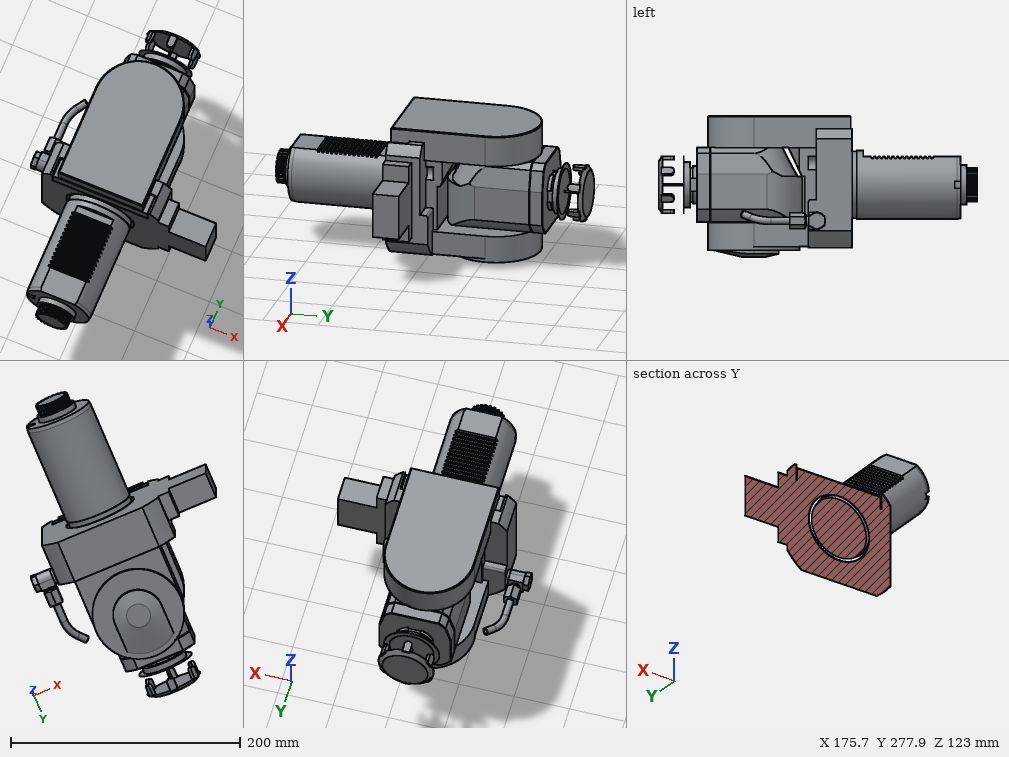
import cadquery as cq
import math


OVERLAP = 1.0

BODY_HALF_WIDTH = 55.0
BODY_TOP = 49.0
BODY_BOTTOM = -55.0
BODY_CORNER_RADIUS = 68.0
BODY_BACK = 31.0
FOOT_BACK = 38.0
FOOT_TOP = -13.0
FOOT_FILLET = 2.0
INSERT_HALF_WIDTH = 44.5
INSERT_BOTTOM = 34.0
INSERT_DEPTH = 17.6
INSERT_GAP = 0.8
INSERT_SETBACK = 0.2

SWIVEL_Y = 85.7
ARM_RADIUS = 40.0
COVER_TOP = 60.0
COVER_BOTTOM = 46.0
COVER_FRONT = 1.0
COVER_CHAMFER = 0.8
UPPER_ARM_BOTTOM = 32.5
LOWER_ARM_TOP = -33.0
LOWER_ARM_BOTTOM = -54.0
PIVOT_DISC_BOTTOM = -57.2
ROOT_HALF_WIDTH = 35.0
ROOT_BACK = 41.3
GUSSET_FOOT = 43.8
GUSSET_SHOULDER = 46.0
GUSSET_BACK = 55.5
GUSSET_TIP_HALF_WIDTH = 2.0
ROOT_GROOVE_RADIUS = 6.0
ROOT_GROOVE_Z = 18.9
PIVOT_CAP_RADIUS = 22.0
PIVOT_CAP_BOTTOM = -63.0
PIVOT_CONE_TOP_RADIUS = 35.0
PIVOT_CONE_TIP_RADIUS = 10.4

HEAD_HALF = 32.6
HEAD_CORNER_RADIUS = 39.0
HEAD_BACK = 135.6
HEAD_NOSE_START = 74.2
HEAD_NOSE_FRONT = 43.0
HEAD_BEVEL_TOP_Z = 27.4
HEAD_BEVEL_END_Z = 9.6
HEAD_END_CHAMFER = 0.5
HEAD_SEAM_Y = 123.6
HEAD_SEAM_WIDTH = 0.6
HEAD_SEAM_DEPTH = 0.5
HEAD_CONE_Z = 7.4
HEAD_CONE_BASE_RADIUS = 38.3
HEAD_CONE_TOP_RADIUS = 25.0

SPINDLE_DIAMETER = 34.8
SPINDLE_SLOT_WIDTH = 11.0
SPINDLE_SLOT_RADIUS = 15.0
SPINDLE_LIP_END = 138.8
SPINDLE_NECK_RADIUS = 16.0
RIM_DIAMETER = 40.0
RIM_FRONT = 141.2
NUT_DIAMETER = 50.0
NUT_EDGE_Y = 146.6
NUT_EDGE_THICKNESS = 0.2
NUT_BACK = 168.61
NUT_PLATE_FRONT = 165.2
NUT_FACE_DIAMETER = 41.0
FINGER_COUNT = 6
FINGER_WIDTH = 6.8
FINGER_THICKNESS = 3.3
FINGER_FRONT = 155.2
PIN_DIAMETER = 1.7

SHANK_DIAMETER = 60.0
SHANK_END = -94.8
SHANK_CHAMFER_LENGTH = 3.4
NECK_DIAMETER = 58.7
NECK_END = -4.2
SEAL_DIAMETER = 64.0
SEAL_DEPTH = 1.0
FLAT_Z = 24.7
FLAT_START = -10.0
TOOTH_COUNT = 14
TOOTH_PITCH = 4.0
FIRST_TOOTH_Y = -17.8
TOOTH_GAP_HALF = 1.5
TOOTH_ROOT_HALF = 0.5
TOOTH_DEPTH = 1.6
KEYWAY_WIDTH = 6.0
KEYWAY_LENGTH = 5.3
KEYWAY_FLOOR_X = -21.8
COUPLING_COLLAR_END = -100.0
COUPLING_END = -109.3
SPLINE_COUNT = 22
SPLINE_RADIUS = 14.8
SPLINE_ROOT_RADIUS = 13.3
SPLINE_TIP_SHARE = 0.15
SPLINE_FOOT_SHARE = 0.35

SUPPORT_BACK = 23.4
SUPPORT_PLATE_X = 65.0
SUPPORT_PLATE_HALF_HEIGHT = 35.0
SUPPORT_END_X = 100.0
SUPPORT_HALF_HEIGHT = 20.0

FITTING_Y = 30.6
FITTING_Z = -31.4
FITTING_END_X = -75.7
FITTING_HEX_INNER_X = -71.0
FITTING_SHOULDER_X = -57.6
FITTING_HEX_CORNERS = 16.0
ELBOW_DIAMETER = 14.5
FITTING_NECK_DIAMETER = 14.0
TUBE_X = -64.1
GLAND_DIAMETER = 8.2
GLAND_CONE_END = 41.4
TUBE_NUT_START = 39.8
TUBE_NUT_END = 54.2
TUBE_NUT_FLATS = 12.0
TUBE_DIAMETER = 6.37
TUBE_BORE = 4.4
TUBE_BEND_START = 71.0
TUBE_BEND_RADIUS = 25.0
TUBE_BEND_ANGLE = 42.0
TUBE_TAIL = 9.5
TUBE_ROLL_ANGLE = 27.0


def box_between(x_range, y_range, z_range):
    """Box given by its limits along each axis."""
    size_x = x_range[1] - x_range[0]
    size_y = y_range[1] - y_range[0]
    size_z = z_range[1] - z_range[0]
    corner = (x_range[0], y_range[0], z_range[0])
    return cq.Workplane("XY").box(size_x, size_y, size_z, centered=False).translate(corner)


def plane_across_y(y, x=0.0, z=0.0):
    """Sketch plane at a Y station, with local x along -X, local y along +Z and normal +Y."""
    plane = cq.Plane(origin=(x, y, z), xDir=(-1, 0, 0), normal=(0, 1, 0))
    return cq.Workplane(plane)


def cylinder_y(radius, y_start, y_end, x=0.0, z=0.0):
    """Cylinder along Y."""
    return plane_across_y(y_start, x, z).circle(radius).extrude(y_end - y_start)


def cylinder_x(radius, x_start, x_end, y, z):
    """Cylinder along X."""
    return cq.Workplane("YZ", origin=(x_start, y, z)).circle(radius).extrude(x_end - x_start)


def turned_y(profile):
    """Body turned about the Y axis from (radius, y) points."""
    return cq.Workplane("XY").polyline(profile).close().revolve(360, (0, 0, 0), (0, 1, 0))


def swivel_cone(bottom_radius, top_radius, z_bottom, z_top):
    """Truncated cone about the vertical swivel axis."""
    profile = [(0, z_bottom), (bottom_radius, z_bottom), (top_radius, z_top), (0, z_top)]
    cone = cq.Workplane("XZ").polyline(profile).close().revolve(360, (0, 0, 0), (0, 1, 0))
    return cone.translate((0, SWIVEL_Y, 0))


def arm_plate(y_front, z_bottom, z_top):
    """Plate with straight sides and a round end about the swivel axis."""
    return (
        cq.Workplane("XY", origin=(0, 0, z_bottom))
        .moveTo(-ARM_RADIUS, y_front)
        .lineTo(ARM_RADIUS, y_front)
        .lineTo(ARM_RADIUS, SWIVEL_Y)
        .threePointArc((0, SWIVEL_Y + ARM_RADIUS), (-ARM_RADIUS, SWIVEL_Y))
        .close()
        .extrude(z_top - z_bottom)
    )


def make_flange():
    """Stepped flange with corners turned to one radius, and a fitted insert below the cover."""
    width = (-BODY_HALF_WIDTH, BODY_HALF_WIDTH)
    plate = box_between(width, (0, BODY_BACK), (BODY_BOTTOM, BODY_TOP))
    foot = box_between(width, (BODY_BACK - OVERLAP, FOOT_BACK), (BODY_BOTTOM, FOOT_TOP))
    foot = foot.edges("|X and >Y and >Z").fillet(FOOT_FILLET)
    flange = plate.union(foot).intersect(cylinder_y(BODY_CORNER_RADIUS, 0, FOOT_BACK))

    pocket_half = INSERT_HALF_WIDTH + INSERT_GAP
    pocket = box_between((-pocket_half, pocket_half), (0, INSERT_DEPTH), (INSERT_BOTTOM, BODY_TOP))
    insert = box_between(
        (-INSERT_HALF_WIDTH, INSERT_HALF_WIDTH),
        (INSERT_SETBACK, INSERT_DEPTH + OVERLAP),
        (INSERT_BOTTOM - OVERLAP, COVER_BOTTOM),
    )
    return flange.cut(pocket).union(insert)


def make_yoke():
    """Upper and lower arms, the root that joins them and the pivot cap underneath."""
    cover = arm_plate(COVER_FRONT, COVER_BOTTOM, COVER_TOP).faces(">Z").chamfer(COVER_CHAMFER)
    upper = arm_plate(INSERT_DEPTH, UPPER_ARM_BOTTOM, COVER_BOTTOM)
    lower = box_between(
        (-ARM_RADIUS, ARM_RADIUS), (FOOT_BACK - OVERLAP, SWIVEL_Y), (LOWER_ARM_BOTTOM, LOWER_ARM_TOP)
    )
    disc = swivel_cone(ARM_RADIUS, ARM_RADIUS, PIVOT_DISC_BOTTOM, LOWER_ARM_TOP)
    yoke = cover.union(upper).union(lower).union(disc)
    return yoke.union(make_root()).union(make_pivot_cap())


def make_root():
    """Narrow block between the arms with a tapered gusset under the upper arm and a groove in each side."""
    root = box_between(
        (-ROOT_HALF_WIDTH, ROOT_HALF_WIDTH),
        (BODY_BACK - OVERLAP, ROOT_BACK),
        (LOWER_ARM_TOP - OVERLAP, UPPER_ARM_BOTTOM + OVERLAP),
    )
    for side in (-1, 1):
        root = root.cut(
            cylinder_y(ROOT_GROOVE_RADIUS, BODY_BACK, FOOT_BACK, side * ROOT_HALF_WIDTH, ROOT_GROOVE_Z)
        )
    gusset = (
        cq.Workplane("YZ", origin=(-ROOT_HALF_WIDTH, 0, 0))
        .moveTo(ROOT_BACK - OVERLAP, HEAD_CONE_Z)
        .lineTo(GUSSET_FOOT, HEAD_CONE_Z)
        .lineTo(GUSSET_BACK, UPPER_ARM_BOTTOM)
        .lineTo(ROOT_BACK - OVERLAP, UPPER_ARM_BOTTOM)
        .close()
        .extrude(2 * ROOT_HALF_WIDTH)
    )
    taper = [
        (-ROOT_HALF_WIDTH, BODY_BACK),
        (ROOT_HALF_WIDTH, BODY_BACK),
        (ROOT_HALF_WIDTH, GUSSET_SHOULDER),
        (GUSSET_TIP_HALF_WIDTH, GUSSET_BACK),
        (-GUSSET_TIP_HALF_WIDTH, GUSSET_BACK),
        (-ROOT_HALF_WIDTH, GUSSET_SHOULDER),
    ]
    gusset = gusset.intersect(cq.Workplane("XY").polyline(taper).close().extrude(UPPER_ARM_BOTTOM))
    return root.union(gusset)


def make_pivot_cap():
    """Shallow cone under the pivot disc, trimmed to a round-nosed outline open towards +Y."""
    cone = swivel_cone(
        PIVOT_CONE_TIP_RADIUS, PIVOT_CONE_TOP_RADIUS, PIVOT_CAP_BOTTOM, PIVOT_DISC_BOTTOM
    )
    outline = (
        cq.Workplane("XY", origin=(0, SWIVEL_Y, PIVOT_CAP_BOTTOM))
        .moveTo(-PIVOT_CAP_RADIUS, 0)
        .threePointArc((0, -PIVOT_CAP_RADIUS), (PIVOT_CAP_RADIUS, 0))
        .lineTo(PIVOT_CAP_RADIUS, PIVOT_CONE_TOP_RADIUS)
        .lineTo(-PIVOT_CAP_RADIUS, PIVOT_CONE_TOP_RADIUS)
        .close()
        .extrude(PIVOT_DISC_BOTTOM - PIVOT_CAP_BOTTOM)
    )
    return cone.intersect(outline)


def head_section(inset=0.0):
    """Closed outline of the head across Y, optionally inset, sketched on a plane normal to Y."""
    half = HEAD_HALF - inset
    radius = HEAD_CORNER_RADIUS - inset
    corner = math.sqrt(radius**2 - half**2)
    bevel_x = math.sqrt(radius**2 - HEAD_BEVEL_TOP_Z**2)
    mid = radius * math.sqrt(0.5)
    top_angle = (math.atan2(half, corner) + math.atan2(HEAD_BEVEL_TOP_Z, bevel_x)) / 2
    top_mid = (radius * math.cos(top_angle), radius * math.sin(top_angle))
    return (
        plane_across_y(0)
        .moveTo(-corner, half)
        .lineTo(corner, half)
        .threePointArc(top_mid, (bevel_x, HEAD_BEVEL_TOP_Z))
        .lineTo(half, HEAD_BEVEL_END_Z)
        .lineTo(half, -corner)
        .threePointArc((mid, -mid), (corner, -half))
        .lineTo(-corner, -half)
        .threePointArc((-mid, -mid), (-half, -corner))
        .lineTo(-half, HEAD_BEVEL_END_Z)
        .lineTo(-bevel_x, HEAD_BEVEL_TOP_Z)
        .threePointArc((-top_mid[0], top_mid[1]), (-corner, half))
        .close()
    )


def make_head():
    """Block with turned corners, bevelled upper sides, a round nose and a relief cone."""
    block = head_section().extrude(HEAD_BACK).faces(">Y").chamfer(HEAD_END_CHAMFER)
    plan = (
        cq.Workplane("XY", origin=(0, 0, -HEAD_HALF))
        .moveTo(-HEAD_HALF, HEAD_BACK)
        .lineTo(-HEAD_HALF, HEAD_NOSE_START)
        .threePointArc((0, HEAD_NOSE_FRONT), (HEAD_HALF, HEAD_NOSE_START))
        .lineTo(HEAD_HALF, HEAD_BACK)
        .close()
        .extrude(2 * HEAD_HALF)
    )
    return block.intersect(plan).cut(head_relief()).cut(head_seam())


def head_relief():
    """Space around the cone that clears the yoke root above the nose ledge."""
    space = box_between(
        (-HEAD_CORNER_RADIUS, HEAD_CORNER_RADIUS), (0, SWIVEL_Y), (HEAD_CONE_Z, HEAD_HALF)
    )
    return space.cut(swivel_cone(HEAD_CONE_BASE_RADIUS, HEAD_CONE_TOP_RADIUS, HEAD_CONE_Z, HEAD_HALF))


def head_seam():
    """Thin groove around the head beside its end plate."""
    ring = cylinder_y(HEAD_CORNER_RADIUS + OVERLAP, 0, HEAD_SEAM_WIDTH)
    core = head_section(HEAD_SEAM_DEPTH).extrude(HEAD_SEAM_WIDTH)
    return ring.cut(core).translate((0, HEAD_SEAM_Y - HEAD_SEAM_WIDTH / 2, 0))


def make_spindle():
    """Spindle nose with a lip and neck, four wrench slots, its rim and the thin seating edge of the nut."""
    lip = cylinder_y(SPINDLE_DIAMETER / 2, HEAD_BACK - OVERLAP, SPINDLE_LIP_END)
    nose = lip.union(cylinder_y(SPINDLE_NECK_RADIUS, HEAD_BACK, RIM_FRONT))
    slot = box_between(
        (-SPINDLE_SLOT_WIDTH / 2, SPINDLE_SLOT_WIDTH / 2),
        (HEAD_BACK, RIM_FRONT),
        (SPINDLE_SLOT_RADIUS, SPINDLE_DIAMETER),
    )
    for angle in (0, 90, 180, 270):
        nose = nose.cut(slot.rotate((0, 0, 0), (0, 1, 0), angle))
    rim = cylinder_y(RIM_DIAMETER / 2, RIM_FRONT, NUT_EDGE_Y)
    edge = cylinder_y(NUT_DIAMETER / 2, NUT_EDGE_Y, NUT_EDGE_Y + NUT_EDGE_THICKNESS)
    return nose.union(rim).union(edge)


def make_nut():
    """Nut end plate with six round-ended fingers, tied to the spindle by a slim central pin."""
    nut = turned_y(
        [
            (0, NUT_PLATE_FRONT),
            (NUT_DIAMETER / 2, NUT_PLATE_FRONT),
            (NUT_FACE_DIAMETER / 2, NUT_BACK),
            (0, NUT_BACK),
        ]
    )
    half_width = FINGER_WIDTH / 2
    finger_inner = NUT_DIAMETER / 2 - FINGER_THICKNESS
    finger = (
        cq.Workplane("XY", origin=(0, 0, finger_inner))
        .moveTo(-half_width, NUT_PLATE_FRONT + OVERLAP)
        .lineTo(-half_width, FINGER_FRONT + half_width)
        .threePointArc((0, FINGER_FRONT), (half_width, FINGER_FRONT + half_width))
        .lineTo(half_width, NUT_PLATE_FRONT + OVERLAP)
        .close()
        .extrude(FINGER_THICKNESS)
        .intersect(cylinder_y(NUT_DIAMETER / 2, FINGER_FRONT, NUT_BACK))
    )
    for index in range(FINGER_COUNT):
        nut = nut.union(finger.rotate((0, 0, 0), (0, 1, 0), index * 360 / FINGER_COUNT))
    return nut.union(cylinder_y(PIN_DIAMETER / 2, NUT_EDGE_Y, NUT_BACK))


def make_shank():
    """Cylindrical shank with a toothed flat, a neck at the flange and a keyway in the end."""
    radius = SHANK_DIAMETER / 2
    neck_radius = NECK_DIAMETER / 2
    shank = turned_y(
        [
            (0, SHANK_END),
            (neck_radius, SHANK_END),
            (radius, SHANK_END + SHANK_CHAMFER_LENGTH),
            (radius, NECK_END),
            (neck_radius, NECK_END),
            (neck_radius, SEAL_DEPTH + OVERLAP),
            (0, SEAL_DEPTH + OVERLAP),
        ]
    )
    flat = box_between((-radius, radius), (SHANK_END, FLAT_START), (FLAT_Z, radius))
    keyway = box_between(
        (-radius, KEYWAY_FLOOR_X),
        (SHANK_END, SHANK_END + KEYWAY_LENGTH),
        (-KEYWAY_WIDTH / 2, KEYWAY_WIDTH / 2),
    )
    shank = shank.cut(flat).cut(keyway)
    for index in range(TOOTH_COUNT):
        tooth_y = FIRST_TOOTH_Y - index * TOOTH_PITCH
        shank = shank.cut(tooth_gap(tooth_y))
    return shank


def tooth_gap(y):
    """Trapezoidal gap across the clamping flat."""
    profile = [
        (y - TOOTH_GAP_HALF, FLAT_Z),
        (y - TOOTH_ROOT_HALF, FLAT_Z - TOOTH_DEPTH),
        (y + TOOTH_ROOT_HALF, FLAT_Z - TOOTH_DEPTH),
        (y + TOOTH_GAP_HALF, FLAT_Z),
    ]
    gap = cq.Workplane("YZ", origin=(-SHANK_DIAMETER / 2, 0, 0)).polyline(profile).close()
    return gap.extrude(SHANK_DIAMETER)


def make_coupling():
    """Drive coupling: a plain collar followed by a splined stub."""
    collar = cylinder_y(SPINDLE_DIAMETER / 2, COUPLING_COLLAR_END, SHANK_END + OVERLAP)
    pitch = 2 * math.pi / SPLINE_COUNT
    outline = []
    for index in range(SPLINE_COUNT):
        centre = index * pitch
        for radius, offset in (
            (SPLINE_ROOT_RADIUS, -SPLINE_FOOT_SHARE),
            (SPLINE_RADIUS, -SPLINE_TIP_SHARE),
            (SPLINE_RADIUS, SPLINE_TIP_SHARE),
            (SPLINE_ROOT_RADIUS, SPLINE_FOOT_SHARE),
        ):
            angle = centre + offset * pitch
            outline.append((radius * math.cos(angle), radius * math.sin(angle)))
    length = COUPLING_COLLAR_END + OVERLAP - COUPLING_END
    stub = plane_across_y(COUPLING_END).polyline(outline).close().extrude(length)
    return collar.union(stub)


def make_support():
    """Stepped support block on the +X side of the flange."""
    plate = box_between(
        (BODY_HALF_WIDTH - OVERLAP, SUPPORT_PLATE_X),
        (0, SUPPORT_BACK),
        (-SUPPORT_PLATE_HALF_HEIGHT, SUPPORT_PLATE_HALF_HEIGHT),
    )
    bar = box_between(
        (SUPPORT_PLATE_X - OVERLAP, SUPPORT_END_X),
        (0, SUPPORT_BACK),
        (-SUPPORT_HALF_HEIGHT, SUPPORT_HALF_HEIGHT),
    )
    return plate.union(bar)


def make_elbow():
    """Coolant elbow: hexagonal end, round barrel squared off towards +Y, and neck into the flange."""
    radius = ELBOW_DIAMETER / 2
    hexagon = (
        cq.Workplane("YZ", origin=(FITTING_END_X, FITTING_Y, FITTING_Z))
        .transformed(rotate=(0, 0, 90))
        .polygon(6, FITTING_HEX_CORNERS)
        .extrude(FITTING_HEX_INNER_X - FITTING_END_X)
    )
    barrel = cylinder_x(radius, FITTING_HEX_INNER_X, FITTING_SHOULDER_X, FITTING_Y, FITTING_Z)
    square = box_between(
        (FITTING_HEX_INNER_X, FITTING_SHOULDER_X),
        (FITTING_Y, FITTING_Y + radius),
        (FITTING_Z - radius, FITTING_Z + radius),
    )
    neck = cylinder_x(
        FITTING_NECK_DIAMETER / 2,
        FITTING_SHOULDER_X - OVERLAP,
        -BODY_HALF_WIDTH + OVERLAP,
        FITTING_Y,
        FITTING_Z,
    )
    return hexagon.union(barrel).union(square).union(neck)


def make_tube_nut():
    """Gland and hexagonal nut that hold the coolant tube, tapered towards the elbow."""
    corner_radius = TUBE_NUT_FLATS / math.sqrt(3)
    gland = cylinder_y(GLAND_DIAMETER / 2, FITTING_Y, GLAND_CONE_END, TUBE_X, FITTING_Z)
    nut = (
        plane_across_y(TUBE_NUT_START, TUBE_X, FITTING_Z)
        .transformed(rotate=(0, 0, 90))
        .polygon(6, 2 * corner_radius)
        .extrude(TUBE_NUT_END - TUBE_NUT_START)
    )
    envelope = turned_y(
        [
            (0, TUBE_NUT_START),
            (GLAND_DIAMETER / 2, TUBE_NUT_START),
            (corner_radius, GLAND_CONE_END),
            (corner_radius, TUBE_NUT_END),
            (0, TUBE_NUT_END),
        ]
    ).translate((TUBE_X, 0, FITTING_Z))
    return gland.union(nut.intersect(envelope))


def make_tube():
    """Hollow coolant tube that runs straight, bends once and ends in a straight tail."""
    bend = math.radians(TUBE_BEND_ANGLE)
    half = bend / 2
    start_y = TUBE_NUT_END - OVERLAP
    middle = (TUBE_BEND_RADIUS * (1 - math.cos(half)), TUBE_BEND_START + TUBE_BEND_RADIUS * math.sin(half))
    end = (TUBE_BEND_RADIUS * (1 - math.cos(bend)), TUBE_BEND_START + TUBE_BEND_RADIUS * math.sin(bend))
    tail = (end[0] + TUBE_TAIL * math.sin(bend), end[1] + TUBE_TAIL * math.cos(bend))
    path = (
        cq.Workplane("XY")
        .moveTo(0, start_y)
        .lineTo(0, TUBE_BEND_START)
        .threePointArc(middle, end)
        .lineTo(*tail)
    )
    section = plane_across_y(start_y).circle(TUBE_DIAMETER / 2).circle(TUBE_BORE / 2)
    tube = section.sweep(path)
    return tube.rotate((0, 0, 0), (0, 1, 0), -TUBE_ROLL_ANGLE).translate((TUBE_X, 0, FITTING_Z))


seal_recess = cylinder_y(SEAL_DIAMETER / 2, 0, SEAL_DEPTH)
result = make_flange().cut(seal_recess)
for piece in (
    make_yoke(),
    make_head(),
    make_spindle(),
    make_nut(),
    make_shank(),
    make_coupling(),
    make_support(),
    make_elbow(),
    make_tube_nut(),
    make_tube(),
):
    result = result.union(piece)